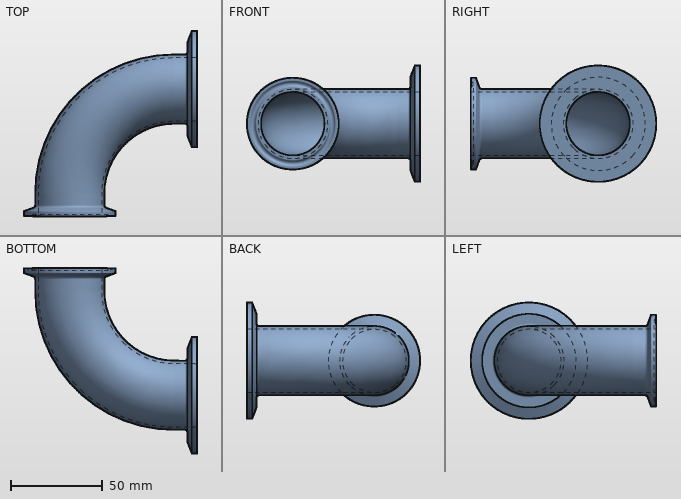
import cadquery as cq
import math

tube_radius = 38.1 / 2
bore_radius = 34.8 / 2
bend_radius = 57.1
tangent_length = 12.7
neck_fillet = 1.3

small_radius = 50.4 / 2
small_edge_height = 3.0
cone_angle = math.radians(20)
rim_fillet = 0.4
rim_recess = 0.2

groove_radius = 21.8
groove_half_width = 1.4
groove_depth = 1.3
groove_lip_fillet = 0.6

large_radius = 63.9 / 2
large_edge_height = 3.0
large_back_height = 5.4
large_back_radius = 25.7

corner = bend_radius + tangent_length


def revolve_about_y(profile):
    """Turn a profile of (radius, height) points about the Y axis."""
    return profile.close().revolve(360, (0, 0, 0), (0, 1, 0))


def circles_at(height):
    """Edge selector for the circles lying in the plane y = height."""
    margin = 0.01
    reach = 2 * small_radius
    return cq.selectors.BoxSelector(
        (-reach, height - margin, -reach), (reach, height + margin, reach), boundingbox=True
    )


def small_ferrule():
    cone_top = small_edge_height + (small_radius - tube_radius) * math.tan(cone_angle)
    land_radius = groove_radius - groove_half_width
    groove_outer_radius = groove_radius + groove_half_width
    body = revolve_about_y(
        cq.Workplane("XY")
        .lineTo(land_radius, 0)
        .threePointArc((groove_radius, groove_depth), (groove_outer_radius, rim_recess))
        .lineTo(small_radius, rim_recess)
        .lineTo(small_radius, small_edge_height)
        .lineTo(tube_radius, cone_top)
        .lineTo(tube_radius, tangent_length)
        .lineTo(0, tangent_length)
    )
    body = body.edges(circles_at(cone_top)).fillet(neck_fillet)
    body = body.edges(circles_at(small_edge_height)).fillet(rim_fillet)
    rim_face_edges = body.edges(circles_at(rim_recess))
    body = rim_face_edges.edges(cq.selectors.RadiusNthSelector(-1)).fillet(rim_fillet)
    groove_outer_edge = body.edges(circles_at(rim_recess)).edges(cq.selectors.RadiusNthSelector(0))
    body = groove_outer_edge.fillet(groove_lip_fillet)
    return body.edges(circles_at(0)).fillet(groove_lip_fillet)


def large_ferrule():
    body = revolve_about_y(
        cq.Workplane("XY")
        .lineTo(large_radius, 0)
        .lineTo(large_radius, large_edge_height)
        .lineTo(large_back_radius, large_back_height)
        .lineTo(tube_radius, large_back_height)
        .lineTo(tube_radius, tangent_length)
        .lineTo(0, tangent_length)
    )
    neck = body.edges(circles_at(large_back_height)).edges(cq.selectors.RadiusNthSelector(0))
    body = neck.fillet(neck_fillet)
    return body.rotate((0, 0, 0), (0, 0, 1), 90).translate((corner, corner, 0))


def bend(radius):
    """Quarter-turn solid bend joining the two ferrules."""
    return (
        cq.Workplane("XZ", origin=(0, tangent_length, 0))
        .circle(radius)
        .revolve(90, (bend_radius, 1, 0), (bend_radius, 0, 0))
    )


def bore():
    small_end = cq.Workplane("XZ").circle(bore_radius).extrude(-tangent_length)
    large_end = (
        cq.Workplane("YZ", origin=(bend_radius, corner, 0)).circle(bore_radius).extrude(tangent_length)
    )
    return bend(bore_radius).union(small_end).union(large_end)


result = bend(tube_radius).union(small_ferrule()).union(large_ferrule()).cut(bore())